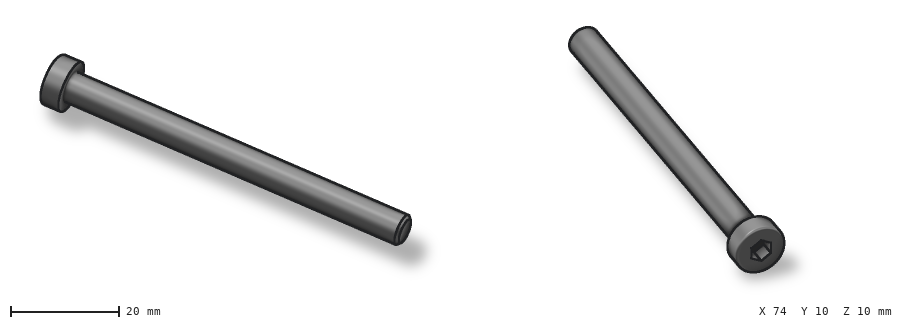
import cadquery as cq
import math

thread_diameter = 6.0
shank_length = 70.0
head_diameter = 10.0
head_height = 4.0
head_edge_radius = 0.6
neck_fillet_radius = 0.1
tip_chamfer = 0.613
socket_across_flats = 4.0
socket_depth = 3.0


def screw_blank():
    """Head, neck fillet, shank and chamfered tip, revolved about the X axis."""
    head_radius = head_diameter / 2
    shank_radius = thread_diameter / 2
    arc_midpoint_inset = 1 - math.sqrt(0.5)
    head_inset = head_edge_radius * arc_midpoint_inset
    neck_inset = neck_fillet_radius * arc_midpoint_inset
    profile = (
        cq.Workplane("XY")
        .moveTo(-head_height, 0)
        .lineTo(-head_height, head_radius - head_edge_radius)
        .threePointArc(
            (-head_height + head_inset, head_radius - head_inset),
            (-head_height + head_edge_radius, head_radius),
        )
        .lineTo(0, head_radius)
        .lineTo(0, shank_radius + neck_fillet_radius)
        .threePointArc(
            (neck_inset, shank_radius + neck_inset),
            (neck_fillet_radius, shank_radius),
        )
        .lineTo(shank_length - tip_chamfer, shank_radius)
        .lineTo(shank_length, shank_radius - tip_chamfer)
        .lineTo(shank_length, 0)
        .close()
    )
    return profile.revolve(360, (0, 0, 0), (1, 0, 0))


def hex_socket():
    """Flat-bottomed hexagon sunk into the head face, two corners on the Z axis."""
    across_corners = socket_across_flats / math.cos(math.pi / 6)
    return (
        cq.Workplane("YZ", origin=(-head_height, 0, 0))
        .transformed(rotate=(0, 0, 90))
        .polygon(6, across_corners)
        .extrude(socket_depth)
    )


result = screw_blank().cut(hex_socket())